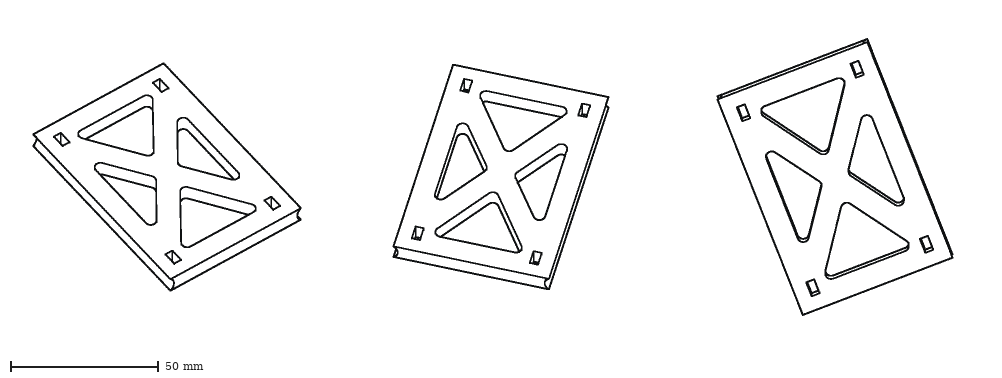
import cadquery as cq

length = 80.0
width = 54.6
thickness = 6.0
groove_depth = 1.5

frame_width = 8.0
corner_radius = 2.0
side_tip = 9.1
side_half_height = 15.1
end_tip = 5.0
end_half_length = 16.6

slot_length = 5.1
slot_width = 2.9
slot_x = 32.5
slot_y = 20.7


def make_plate():
    """Plate whose two long edges are hollowed by a concave arc."""
    half_width = width / 2
    half_thickness = thickness / 2
    groove_floor = half_width - groove_depth
    profile = (
        cq.Workplane("YZ")
        .moveTo(-half_width, -half_thickness)
        .lineTo(half_width, -half_thickness)
        .threePointArc((groove_floor, 0), (half_width, half_thickness))
        .lineTo(-half_width, half_thickness)
        .threePointArc((-groove_floor, 0), (-half_width, -half_thickness))
        .close()
    )
    return profile.extrude(length / 2, both=True)


def make_window(tip, base, half_base, direction):
    """Rounded triangle pointing at the plate centre from the given direction.

    The triangle joins the corner arc centres and is offset by their radius.
    """
    tip_centre = tip + corner_radius
    base_centre = base - corner_radius
    half_span = half_base - corner_radius
    return (
        cq.Workplane("XY")
        .polyline([(tip_centre, 0), (base_centre, half_span), (base_centre, -half_span)])
        .close()
        .offset2D(corner_radius, "arc")
        .extrude(thickness, both=True)
        .rotate((0, 0, 0), (0, 0, 1), direction)
    )


def make_slots():
    corners = [(x, y) for x in (-slot_x, slot_x) for y in (-slot_y, slot_y)]
    return (
        cq.Workplane("XY")
        .pushPoints(corners)
        .rect(slot_length, slot_width)
        .extrude(thickness, both=True)
    )


result = make_plate().cut(make_slots())
for angle in (0, 180):
    side_window = make_window(side_tip, length / 2 - frame_width, side_half_height, angle)
    end_window = make_window(end_tip, width / 2 - frame_width, end_half_length, angle + 90)
    result = result.cut(side_window).cut(end_window)